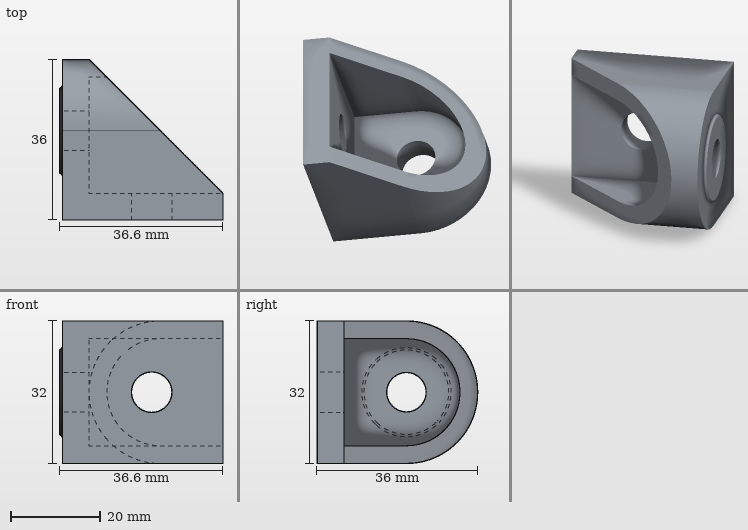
import cadquery as cq

leg_length = 36.0
width = 32.0
end_radius = width / 2
hole_offset = leg_length - end_radius
leg_tip = 6.0

boss_diameter = 20.0
boss_height = 36.6 - leg_length
boss_chamfer = 0.5

side_hole_diameter = 8.8
front_hole_diameter = 9.0

flange_thickness = leg_tip
wall_thickness = 4.0


def rounded_prism(start, length, half_width):
    """Prism along X with a rounded +Y end, beginning at X = Y = start."""
    return (
        cq.Workplane("YZ", origin=(start, 0, 0))
        .moveTo(start, -half_width)
        .lineTo(hole_offset, -half_width)
        .threePointArc((hole_offset + half_width, 0), (hole_offset, half_width))
        .lineTo(start, half_width)
        .close()
        .extrude(length)
    )


def sloped_envelope():
    """Five-sided plan outline that cuts the +X +Y corner at 45 degrees."""
    return (
        cq.Workplane("XY", origin=(0, 0, -width / 2))
        .polyline([
            (0, 0),
            (leg_length, 0),
            (leg_length, leg_tip),
            (leg_tip, leg_length),
            (0, leg_length),
        ])
        .close()
        .extrude(width)
    )


def locating_boss():
    return (
        cq.Workplane("YZ", origin=(-boss_height, hole_offset, 0))
        .circle(boss_diameter / 2)
        .extrude(boss_height)
        .faces("<X")
        .chamfer(boss_chamfer)
    )


def side_hole():
    """Hole along X through the boss and the flange behind it."""
    return (
        cq.Workplane("YZ", origin=(-boss_height, hole_offset, 0))
        .circle(side_hole_diameter / 2)
        .extrude(boss_height + leg_length)
    )


def front_hole():
    """Hole along Y through the front flange."""
    return (
        cq.Workplane("XZ", origin=(hole_offset, 0, 0))
        .circle(front_hole_diameter / 2)
        .extrude(-leg_length)
    )


body = rounded_prism(0, leg_length, end_radius).intersect(sloped_envelope())
pocket = rounded_prism(flange_thickness, leg_length, end_radius - wall_thickness)

result = body.cut(pocket).union(locating_boss()).cut(side_hole()).cut(front_hole())